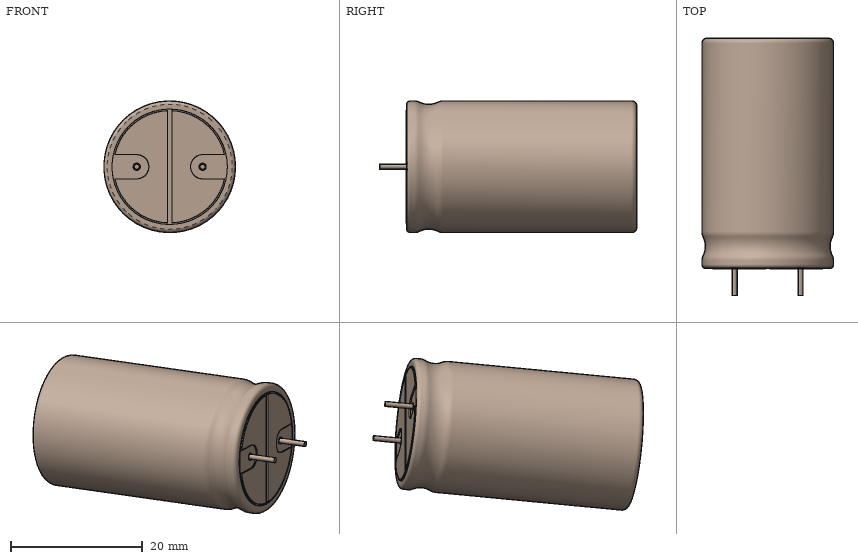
import cadquery as cq
import math

CAN_DIAMETER = 20.0
CAN_LENGTH = 35.0
TOP_FILLET = 0.8
RIM_FILLET = 0.6

GROOVE_CENTER = 3.35
GROOVE_DEPTH = 0.5
GROOVE_HALF_WIDTH = 2.15
BLEND_SHARE = 1 / 3

RECESS_DIAMETER = 17.5
RECESS_DEPTH = 0.1
PAD_DIAMETER = 17.05
PAD_RISE = 0.1
PAD_GAP = 0.65

PIN_DIAMETER = 0.8
PIN_PITCH = 10.0
PIN_TIP = 4.1
PIN_CLEARANCE_DIAMETER = 1.1
PIN_CLEARANCE_DEPTH = 0.08
CLEARING_WIDTH = 3.68

CAN_RADIUS = CAN_DIAMETER / 2
PAD_HEIGHT = RECESS_DEPTH + PAD_RISE


def disc(diameter, y_start, y_end, x=0):
    """Cylinder parallel to Y between two Y positions."""
    sketch = cq.Workplane("XZ", origin=(x, y_start, 0)).circle(diameter / 2)
    return sketch.extrude(y_start - y_end)


def make_can():
    """Revolve the can outline, with its rounded ends and rolled groove."""
    turn = 2 * math.atan(GROOVE_DEPTH / GROOVE_HALF_WIDTH)
    radii_sum = GROOVE_HALF_WIDTH / math.sin(turn)
    blend_radius = BLEND_SHARE * radii_sum
    hollow_radius = radii_sum - blend_radius
    groove_radius = CAN_RADIUS - GROOVE_DEPTH

    groove_start = GROOVE_CENTER - GROOVE_HALF_WIDTH
    groove_end = GROOVE_CENTER + GROOVE_HALF_WIDTH
    blend_drop = blend_radius * (1 - math.cos(turn))
    blend_mid_drop = blend_radius * (1 - math.cos(turn / 2))
    blend_run = blend_radius * math.sin(turn)
    blend_mid_run = blend_radius * math.sin(turn / 2)
    hollow_run = hollow_radius * math.sin(turn)

    outline = (
        cq.Workplane("XY")
        .lineTo(CAN_RADIUS, 0)
        .lineTo(CAN_RADIUS, groove_start)
        .threePointArc(
            (CAN_RADIUS - blend_mid_drop, groove_start + blend_mid_run),
            (CAN_RADIUS - blend_drop, groove_start + blend_run),
        )
        .threePointArc(
            (groove_radius, GROOVE_CENTER),
            (CAN_RADIUS - blend_drop, GROOVE_CENTER + hollow_run),
        )
        .threePointArc(
            (CAN_RADIUS - blend_mid_drop, groove_end - blend_mid_run),
            (CAN_RADIUS, groove_end),
        )
        .lineTo(CAN_RADIUS, CAN_LENGTH)
        .lineTo(0, CAN_LENGTH)
        .close()
    )
    can = outline.revolve(360, (0, 0, 0), (0, 1, 0))
    can = can.faces(">Y").edges().fillet(TOP_FILLET)
    return can.faces("<Y").edges().fillet(RIM_FILLET)


def make_pads():
    """Raised disc split by the central gap and cleared around each pin."""
    pads = disc(PAD_DIAMETER, RECESS_DEPTH, -PAD_RISE)
    mid_y = (RECESS_DEPTH - PAD_RISE) / 2
    gap = cq.Workplane("XY").box(PAD_GAP, PAD_HEIGHT, PAD_DIAMETER)
    pads = pads.cut(gap.translate((0, mid_y, 0)))
    for side in (-1, 1):
        pin_x = side * PIN_PITCH / 2
        round_end = disc(CLEARING_WIDTH, RECESS_DEPTH, -PAD_RISE, pin_x)
        channel_length = CAN_RADIUS - PIN_PITCH / 2
        channel_x = pin_x + side * channel_length / 2
        channel = cq.Workplane("XY").box(channel_length, PAD_HEIGHT, CLEARING_WIDTH)
        pads = pads.cut(round_end).cut(channel.translate((channel_x, mid_y, 0)))
    return pads


result = make_can().cut(disc(RECESS_DIAMETER, RECESS_DEPTH, 0)).union(make_pads())

clearance_bottom = RECESS_DEPTH + PIN_CLEARANCE_DEPTH
for pin_x in (-PIN_PITCH / 2, PIN_PITCH / 2):
    result = result.cut(disc(PIN_CLEARANCE_DIAMETER, clearance_bottom, 0, pin_x))
    result = result.union(disc(PIN_DIAMETER, clearance_bottom, -PIN_TIP, pin_x))